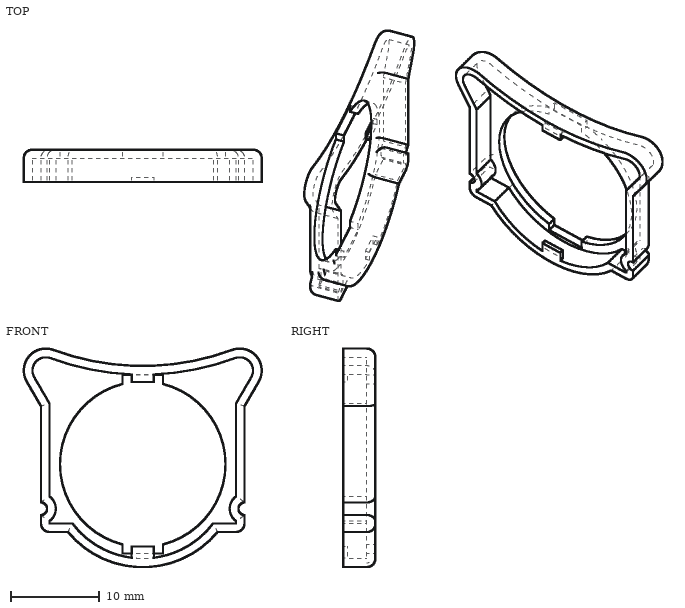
import cadquery as cq
import math

overall_width = 27.0
depth = 3.67
wall = 1.0
floor_thickness = 1.0
back_fillet = 0.97

ear_radius = 2.5
ear_x = overall_width / 2 - ear_radius
ear_z = 10.6
saddle_z = 11.15
side_x = 11.55
shoulder_z = 6.6
ledge_z = -7.7
corner_radius = 1.0
belly_x = 8.48
belly_z = -11.7

bore_radius = 9.37
notch_radius = 0.7
notch_z = -5.05
slot_width = 4.6
slot_reach = 10.1
tab_width = 2.55
tab_reach = 9.32
tab_thickness = 0.49
tab_embed = wall / 2

saddle_drop = saddle_z - ear_z
saddle_radius = (ear_x**2 + saddle_drop**2 - ear_radius**2) / (2 * (ear_radius - saddle_drop))
saddle_center_z = saddle_z + saddle_radius
tangent_share = ear_radius / (saddle_radius + ear_radius)
ear_top_x = ear_x * (1 - tangent_share)
ear_top_z = ear_z + (saddle_center_z - ear_z) * tangent_share

shoulder_dx = side_x - ear_x
shoulder_dz = shoulder_z - ear_z
flank_angle = math.atan2(shoulder_dz, shoulder_dx) + math.acos(
    ear_radius / math.hypot(shoulder_dx, shoulder_dz))
flank_x = ear_x + ear_radius * math.cos(flank_angle)
flank_z = ear_z + ear_radius * math.sin(flank_angle)
ear_mid_angle = math.radians(45)
ear_mid_x = ear_x + ear_radius * math.cos(ear_mid_angle)
ear_mid_z = ear_z + ear_radius * math.sin(ear_mid_angle)


def outline():
    """Closed outer profile in the XZ plane, without notches or rounded corners."""
    return (
        cq.Workplane("XZ")
        .moveTo(-ear_top_x, ear_top_z)
        .threePointArc((0, saddle_z), (ear_top_x, ear_top_z))
        .threePointArc((ear_mid_x, ear_mid_z), (flank_x, flank_z))
        .lineTo(side_x, shoulder_z)
        .lineTo(side_x, ledge_z)
        .lineTo(belly_x, ledge_z)
        .threePointArc((0, belly_z), (-belly_x, ledge_z))
        .lineTo(-side_x, ledge_z)
        .lineTo(-side_x, shoulder_z)
        .lineTo(-flank_x, flank_z)
        .threePointArc((-ear_mid_x, ear_mid_z), (-ear_top_x, ear_top_z))
        .close()
    )


def side_cylinders(radius):
    """Cylinders along Y centred on the two side notches."""
    centers = [(-side_x, notch_z), (side_x, notch_z)]
    return cq.Workplane("XZ").pushPoints(centers).circle(radius).extrude(depth)


def block(width, y_front, y_back, z_low, z_high):
    """Box centred on X between the given Y and Z limits."""
    return (
        cq.Workplane("XY")
        .box(width, y_back - y_front, z_high - z_low)
        .translate((0, (y_front + y_back) / 2, (z_low + z_high) / 2))
    )


def corner_selector(corner_x):
    """Selects the bottom outer corner edge at the given X."""
    margin = 0.27
    return cq.selectors.BoxSelector(
        (corner_x - margin, -depth, ledge_z - margin),
        (corner_x + margin, 0, ledge_z + margin),
    )


blank = outline().extrude(depth)
bottom_corners = corner_selector(-side_x) + corner_selector(side_x)
blank = blank.edges("|Y").edges(bottom_corners).fillet(corner_radius)
blank = blank.cut(side_cylinders(notch_radius))
blank = blank.faces(">Y").edges().fillet(back_fillet)

recess = outline().offset2D(-wall, "intersection").extrude(depth - floor_thickness)
recess = recess.translate((0, -floor_thickness, 0))
recess = recess.cut(side_cylinders(notch_radius + wall).translate((0, -floor_thickness, 0)))
body = blank.cut(recess)

body = body.cut(cq.Workplane("XZ").circle(bore_radius).extrude(depth))
body = body.cut(block(slot_width, -floor_thickness, 0, -slot_reach, slot_reach))

top_tab = block(tab_width, -depth, tab_thickness - depth, tab_reach, saddle_z - tab_embed)
bottom_tab = block(tab_width, -depth, tab_thickness - depth, belly_z + tab_embed, -tab_reach)

result = body.union(top_tab).union(bottom_tab)